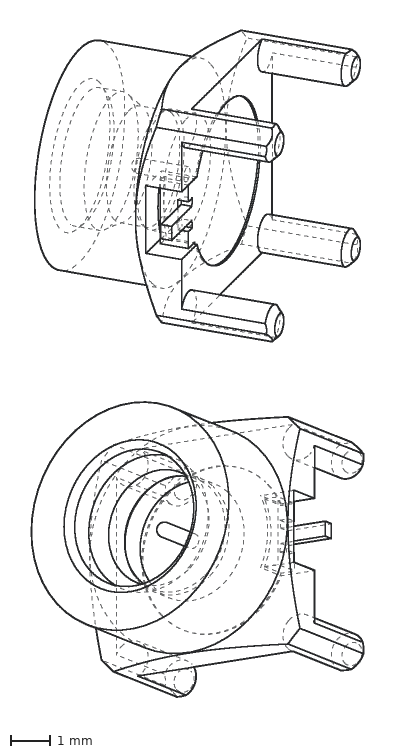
import cadquery as cq
import math


TOTAL_LENGTH = 6.59
SHELL_WIDTH = 6.0
BARREL_RADIUS = 2.985
BARREL_LENGTH = 2.795
SHELL_LENGTH = 4.08
CORNER_CHAMFER = 0.36
SHOULDER_ANGLE = 30.0

LEG_PITCH = 5.075
LEG_RADIUS = 0.5
LEG_TIP_CHAMFER = 0.2

MOUTH_RADIUS = 2.0
MOUTH_CHAMFER = 0.2
ENTRY_RADIUS = 1.8
ENTRY_END = 0.87
THROAT_RADIUS = 1.515
TAPER_LENGTH = 0.5
THROAT_END = 2.135
CHAMBER_RADIUS = 1.57
FLARE_LENGTH = 0.105

DISC_RADIUS = 2.2
DISC_FRONT = 2.965
DISC_RECESS = 0.05
WINDOW_FRONT = 3.09
WINDOW_WIDTH = 1.9
BLOCK_FRONT = 3.24
BLOCK_WIDTH = 1.785
BLOCK_REACH = 2.42

CONTACT_RADIUS = 0.2
CONTACT_TIP = 1.45
TAB_WIDTH = 0.395
TAB_THICKNESS = 0.295
TAB_PROJECTION = 0.54
NOTCH_WIDTH = 0.84

HALF_WIDTH = SHELL_WIDTH / 2
DISC_REAR = SHELL_LENGTH - DISC_RECESS


def box(x_start, x_end, y_start, y_end, width_z):
    """Box spanning the given X and Y ranges, centred on z = 0."""
    return cq.Workplane("XY").box(
        x_end - x_start, y_end - y_start, width_z, centered=(False, False, True)
    ).translate((x_start, y_start, 0))


def cylinder(x_start, x_end, radius, y=0, z=0):
    """Solid cylinder parallel to X."""
    return cq.Workplane("YZ", origin=(x_start, y, z)).circle(radius).extrude(x_end - x_start)


def turned(profile):
    """Revolve an (x, radius) profile around the X axis."""
    return profile.close().revolve(360, (0, 0, 0), (1, 0, 0))


def square_envelope():
    """Square bar with chamfered corners that bounds the housing and legs."""
    return (
        cq.Workplane("YZ")
        .rect(SHELL_WIDTH, SHELL_WIDTH)
        .extrude(TOTAL_LENGTH)
        .edges("|X")
        .chamfer(CORNER_CHAMFER)
    )


def turned_shell():
    """Round barrel flaring through a conical shoulder past the square corners."""
    flare_radius = HALF_WIDTH * math.sqrt(2)
    flare_length = (flare_radius - BARREL_RADIUS) * math.tan(math.radians(SHOULDER_ANGLE))
    return turned(
        cq.Workplane("XY")
        .lineTo(0, BARREL_RADIUS)
        .lineTo(BARREL_LENGTH, BARREL_RADIUS)
        .lineTo(BARREL_LENGTH + flare_length, flare_radius)
        .lineTo(SHELL_LENGTH, flare_radius)
        .lineTo(SHELL_LENGTH, 0)
    )


def leg(y, z):
    """Round leg with a chamfered tip, rooted inside the square housing."""
    root = BARREL_LENGTH + (SHELL_LENGTH - BARREL_LENGTH) / 2
    return cylinder(root, TOTAL_LENGTH, LEG_RADIUS, y, z).faces(">X").chamfer(LEG_TIP_CHAMFER)


def socket():
    """Chamfered mouth, entry bore, taper and throat, flaring into the chamber at the disc."""
    taper_end = ENTRY_END + TAPER_LENGTH
    return turned(
        cq.Workplane("XY")
        .lineTo(0, MOUTH_RADIUS)
        .lineTo(MOUTH_CHAMFER, ENTRY_RADIUS)
        .lineTo(ENTRY_END, ENTRY_RADIUS)
        .lineTo(taper_end, THROAT_RADIUS)
        .lineTo(THROAT_END, THROAT_RADIUS)
        .lineTo(THROAT_END + FLARE_LENGTH, CHAMBER_RADIUS)
        .lineTo(DISC_FRONT, CHAMBER_RADIUS)
        .lineTo(DISC_FRONT, 0)
    )


def side_window():
    """Opening in the -Y wall, from the outer face in to the insulator disc."""
    window = box(WINDOW_FRONT, SHELL_LENGTH, -HALF_WIDTH, 0, WINDOW_WIDTH)
    return window.cut(cylinder(WINDOW_FRONT, SHELL_LENGTH, DISC_RADIUS))


def insulator_block():
    """Flat-faced block on the disc, notched around the contact tab."""
    block = box(BLOCK_FRONT, DISC_REAR, -BLOCK_REACH, 0, BLOCK_WIDTH)
    notch = box(DISC_REAR - TAB_THICKNESS, DISC_REAR, -BLOCK_REACH, 0, NOTCH_WIDTH)
    disc = cylinder(BLOCK_FRONT, DISC_REAR, DISC_RADIUS)
    return block.cut(notch.cut(disc))


def contact():
    """Round-nosed pin on the axis."""
    nose_end = CONTACT_TIP + CONTACT_RADIUS
    pin = cylinder(nose_end, DISC_REAR, CONTACT_RADIUS)
    return pin.union(cq.Workplane("XY").sphere(CONTACT_RADIUS).translate((nose_end, 0, 0)))


def contact_tab():
    """Flat tab running from the contact out through the side window."""
    return box(DISC_REAR - TAB_THICKNESS, DISC_REAR, -HALF_WIDTH - TAB_PROJECTION, 0, TAB_WIDTH)


housing = turned_shell()
for y_side in (-1, 1):
    for z_side in (-1, 1):
        housing = housing.union(leg(y_side * LEG_PITCH / 2, z_side * LEG_PITCH / 2))
housing = housing.intersect(square_envelope())

housing = housing.cut(socket())
housing = housing.cut(cylinder(DISC_REAR, SHELL_LENGTH, DISC_RADIUS))
housing = housing.cut(side_window())

result = housing.union(insulator_block()).union(contact()).union(contact_tab())